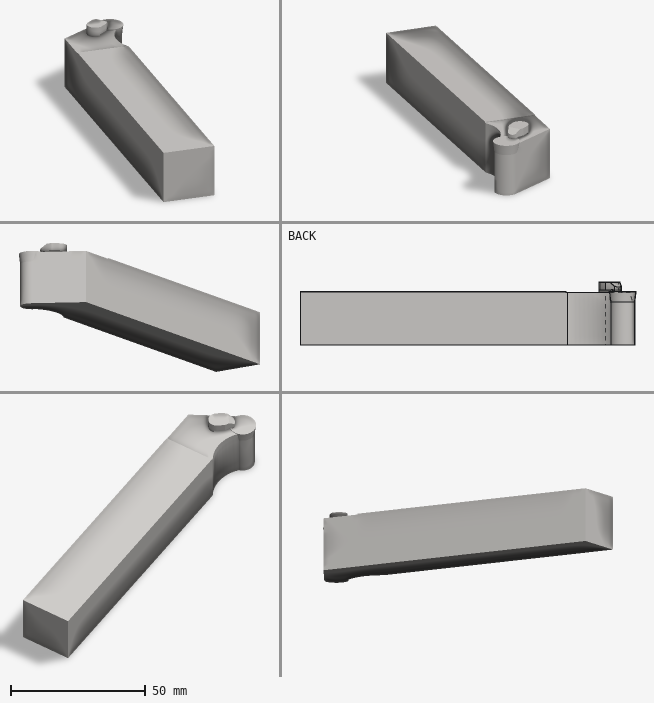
import cadquery as cq
import math

LENGTH = 125.0
SHANK_SIZE = 20.0
HEAD_LENGTH = 26.1
HEAD_DROP = 0.31
FLANK_ANGLE = 60.0
RELIEF_LOW_POINT = (18.5, 18.0)
RELIEF_END_X = 25.6
RELIEF_START_ANGLE = 15.0

INSERT_RADIUS = 5.0
INSERT_THICKNESS = 3.9
INSERT_CLEARANCE = 7.0
INSERT_X = INSERT_RADIUS
INSERT_Y = SHANK_SIZE
SEAT_Z = SHANK_SIZE - INSERT_THICKNESS
INSERT_BASE_RADIUS = INSERT_RADIUS - INSERT_THICKNESS * math.tan(math.radians(INSERT_CLEARANCE))
NOSE_RADIUS = INSERT_BASE_RADIUS

CLAMP_REAR = (12.7, 9.7)
CLAMP_ANGLE = 129.0
CLAMP_HALF_WIDTH = 3.1
CLAMP_LENGTH = 10.0
CLAMP_TAPER_START = 6.0
CLAMP_TIP_HALF_WIDTH = 1.6
CLAMP_TIP_SIDE = 9.5
CLAMP_HEIGHT = 3.5
CLAMP_TIP_HEIGHT = 1.6
CLAMP_RIDGE = 7.6
ARCH_START = 1.9
ARCH_END = 8.7
ARCH_HEIGHT = 0.6


def nose_point(angle):
    """Point on the nose circle at an angle in degrees."""
    turn = math.radians(angle)
    return (INSERT_X + NOSE_RADIUS * math.cos(turn), INSERT_Y + NOSE_RADIUS * math.sin(turn))


def make_shank_and_head():
    """Square shank whose head has an angled flank, a round nose and a curved relief."""
    flank_end_angle = 270.0 - FLANK_ANGLE
    flank_end = nose_point(flank_end_angle)
    nose_middle = nose_point((RELIEF_START_ANGLE + flank_end_angle) / 2)
    flank_foot_x = flank_end[0] + flank_end[1] / math.tan(math.radians(FLANK_ANGLE))
    body = (
        cq.Workplane("XY")
        .moveTo(flank_foot_x, 0)
        .lineTo(LENGTH, 0)
        .lineTo(LENGTH, SHANK_SIZE)
        .lineTo(RELIEF_END_X, SHANK_SIZE)
        .threePointArc(RELIEF_LOW_POINT, nose_point(RELIEF_START_ANGLE))
        .threePointArc(nose_middle, flank_end)
        .close()
        .extrude(SHANK_SIZE)
    )
    head_cut = (
        cq.Workplane("XY")
        .box(HEAD_LENGTH, 2 * SHANK_SIZE, HEAD_DROP, centered=False)
        .translate((0, 0, SHANK_SIZE - HEAD_DROP))
    )
    return body.cut(head_cut)


def make_clamp():
    """Tapered finger with a sloped front, arched between its heel and its tip."""
    base_z = SHANK_SIZE - HEAD_DROP
    top_z = SHANK_SIZE + CLAMP_HEIGHT
    clamp = (
        cq.Workplane("XY")
        .workplane(offset=base_z)
        .moveTo(CLAMP_HALF_WIDTH, -CLAMP_HALF_WIDTH)
        .lineTo(CLAMP_TAPER_START, -CLAMP_HALF_WIDTH)
        .lineTo(CLAMP_TIP_SIDE, -CLAMP_TIP_HALF_WIDTH)
        .threePointArc((CLAMP_LENGTH, 0), (CLAMP_TIP_SIDE, CLAMP_TIP_HALF_WIDTH))
        .lineTo(CLAMP_TAPER_START, CLAMP_HALF_WIDTH)
        .lineTo(CLAMP_HALF_WIDTH, CLAMP_HALF_WIDTH)
        .threePointArc((0, 0), (CLAMP_HALF_WIDTH, -CLAMP_HALF_WIDTH))
        .close()
        .extrude(top_z - base_z)
    )
    side_profile = (
        cq.Workplane("XZ")
        .moveTo(0, base_z)
        .lineTo(ARCH_START, base_z)
        .lineTo(ARCH_START, SHANK_SIZE + ARCH_HEIGHT)
        .lineTo(ARCH_END, SHANK_SIZE + ARCH_HEIGHT)
        .lineTo(ARCH_END, SHANK_SIZE)
        .lineTo(CLAMP_LENGTH, SHANK_SIZE)
        .lineTo(CLAMP_LENGTH, SHANK_SIZE + CLAMP_TIP_HEIGHT)
        .lineTo(CLAMP_RIDGE, top_z)
        .lineTo(0, top_z)
        .close()
        .extrude(CLAMP_HALF_WIDTH, both=True)
    )
    clamp = clamp.intersect(side_profile)
    return clamp.rotate((0, 0, 0), (0, 0, 1), CLAMP_ANGLE).translate((*CLAMP_REAR, 0))


def make_insert():
    """Round cutting insert, narrowing downward."""
    return (
        cq.Workplane("XY", origin=(INSERT_X, INSERT_Y, SEAT_Z))
        .circle(INSERT_BASE_RADIUS)
        .extrude(INSERT_THICKNESS, taper=-INSERT_CLEARANCE)
    )


insert = make_insert()
holder = make_shank_and_head().cut(insert).union(make_clamp())

result = cq.Compound.makeCompound([holder.solids().val(), insert.val()])